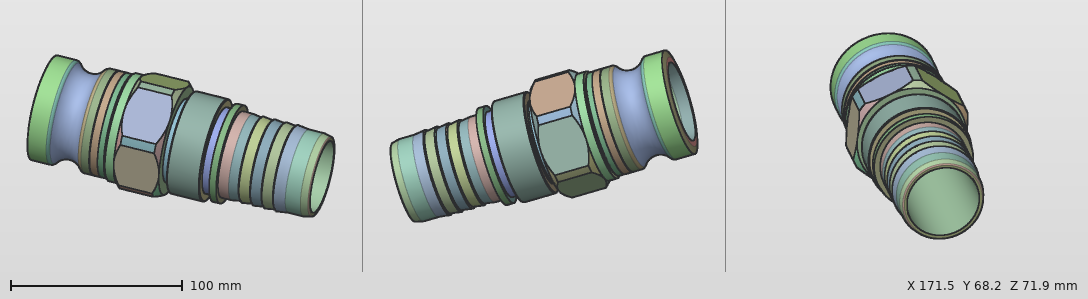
import cadquery as cq
import math

LENGTH = 171.5

LIP_DIA = 63.0
LIP_FACE_DIA = 54.2
LIP_CHAMFER_LENGTH = 1.2
NECK_DIA = 52.0
NECK_CENTRE_X = 23.3
NECK_RADIUS = 10.6
NECK_EDGE_RADIUS = 2.5
SEAM_X = 39.3
SEAM_WIDTH = 0.3
SEAM_DEPTH = 0.3
BODY_STEP_X = 44.2
BODY_REAR_DIA = 62.8
BODY_END_X = 48.0
RELIEF_DIA = 59.0

FLANGE_X = 49.2
HEX_START_X = 54.5
HEX_END_X = 82.3
HEX_ACROSS_FLATS = 65.0
HEX_CORNER_DIA = 72.0
HEX_TILT = 6.8
FLANGE_DIA = HEX_ACROSS_FLATS

SHANK_DIA = 50.6
SHANK_END_X = 85.4
SHANK_RING_DIA = 50.5
COLLAR_START_X = 86.5
COLLAR_END_X = 106.7
COLLAR_DIA = 61.5
COLLAR_CHAMFER = 0.5

TAIL_DIA = 52.0
STOP_RING_START_X = 112.2
STOP_RING_END_X = 116.5
STOP_RING_DIA = 59.0
FIRST_TAPER_X = 122.8
FIRST_BARB_X = 129.3
BARB_COUNT = 4
BARB_PITCH = 7.0
BARB_RISE_LENGTH = 0.7
BARB_ROOT_DIA = 50.0
TIP_DIA = 50.0
TIP_START_X = 157.3
TIP_TAPER_X = 166.5
TIP_END_DIA = 47.8
TIP_FILLET = 0.9

BORE_DIA = 43.0
MOUTH_DIA = 47.5
MOUTH_DEPTH = 6.9


def neck_points():
    """Tangent and mid points of the neck arc and its edge rounds, front to rear."""
    lip_r = LIP_DIA / 2
    neck_r = NECK_DIA / 2
    arc_y = neck_r + NECK_RADIUS
    edge_y = lip_r - NECK_EDGE_RADIUS
    centre_distance = NECK_RADIUS + NECK_EDGE_RADIUS
    angle = math.acos((arc_y - edge_y) / centre_distance)
    edge_dx = centre_distance * math.sin(angle)
    tangent_dx = NECK_RADIUS * math.sin(angle)
    tangent_y = arc_y - NECK_RADIUS * math.cos(angle)
    mid_dx = edge_dx - NECK_EDGE_RADIUS * math.sin(angle / 2)
    mid_y = edge_y + NECK_EDGE_RADIUS * math.cos(angle / 2)
    front_half = [(-edge_dx, lip_r), (-mid_dx, mid_y), (-tangent_dx, tangent_y)]
    rear_half = [(-dx, y) for dx, y in reversed(front_half)]
    return [(NECK_CENTRE_X + dx, y) for dx, y in front_half + [(0, neck_r)] + rear_half]


def steps(outline, *stations):
    """Continue the outline through (x, diameter) stations."""
    for x, diameter in stations:
        outline = outline.lineTo(x, diameter / 2)
    return outline


def turned_body():
    neck = neck_points()
    outline = cq.Workplane("XY").moveTo(0, 0)
    outline = steps(outline, (0, LIP_FACE_DIA), (LIP_CHAMFER_LENGTH, LIP_DIA))
    outline = outline.lineTo(*neck[0])
    for middle, end in zip(neck[1::2], neck[2::2]):
        outline = outline.threePointArc(middle, end)
    outline = steps(
        outline,
        (SEAM_X - SEAM_WIDTH / 2, LIP_DIA),
        (SEAM_X, LIP_DIA - 2 * SEAM_DEPTH),
        (SEAM_X + SEAM_WIDTH / 2, LIP_DIA),
        (BODY_STEP_X, LIP_DIA),
        (BODY_STEP_X, BODY_REAR_DIA),
        (BODY_END_X, BODY_REAR_DIA),
        (BODY_END_X, RELIEF_DIA),
        (FLANGE_X, RELIEF_DIA),
        (FLANGE_X, FLANGE_DIA),
        (HEX_START_X, FLANGE_DIA),
        (HEX_START_X, SHANK_DIA),
        (SHANK_END_X, SHANK_DIA),
        (SHANK_END_X, SHANK_RING_DIA),
        (COLLAR_START_X, SHANK_RING_DIA),
        (COLLAR_START_X, COLLAR_DIA - 2 * COLLAR_CHAMFER),
        (COLLAR_START_X + COLLAR_CHAMFER, COLLAR_DIA),
        (COLLAR_END_X - COLLAR_CHAMFER, COLLAR_DIA),
        (COLLAR_END_X, COLLAR_DIA - 2 * COLLAR_CHAMFER),
        (COLLAR_END_X, TAIL_DIA),
        (STOP_RING_START_X, TAIL_DIA),
        (STOP_RING_START_X, STOP_RING_DIA),
        (STOP_RING_END_X, STOP_RING_DIA),
        (STOP_RING_END_X, TAIL_DIA),
        (FIRST_TAPER_X, TAIL_DIA),
    )
    for barb in range(BARB_COUNT):
        peak_x = FIRST_BARB_X + barb * BARB_PITCH
        outline = steps(outline, (peak_x - BARB_RISE_LENGTH, BARB_ROOT_DIA), (peak_x, TAIL_DIA))
    outline = steps(
        outline, (TIP_START_X, TIP_DIA), (TIP_TAPER_X, TIP_DIA), (LENGTH, TIP_END_DIA), (LENGTH, 0)
    )
    body = outline.close().revolve(360, (0, 0, 0), (1, 0, 0))
    return body.faces(">X").edges().fillet(TIP_FILLET)


def hex_nut():
    """Hexagon with its corners turned off and both ends chamfered at 45 degrees."""
    width = HEX_END_X - HEX_START_X
    across_corners = HEX_ACROSS_FLATS / math.cos(math.radians(30))
    corner_angle = 90 - HEX_TILT
    hexagon = (
        cq.Workplane("YZ", origin=(HEX_START_X, 0, 0))
        .transformed(rotate=(0, 0, corner_angle))
        .polygon(6, across_corners)
        .extrude(width)
    )
    chamfer = (HEX_CORNER_DIA - HEX_ACROSS_FLATS) / 2
    blank = (
        cq.Workplane("YZ", origin=(HEX_START_X, 0, 0))
        .circle(HEX_CORNER_DIA / 2)
        .extrude(width)
        .edges()
        .chamfer(chamfer)
    )
    return hexagon.intersect(blank)


def bore():
    outline = cq.Workplane("XY").moveTo(0, 0)
    outline = steps(outline, (0, MOUTH_DIA), (MOUTH_DEPTH, BORE_DIA), (LENGTH, BORE_DIA), (LENGTH, 0))
    return outline.close().revolve(360, (0, 0, 0), (1, 0, 0))


result = turned_body().union(hex_nut()).cut(bore())